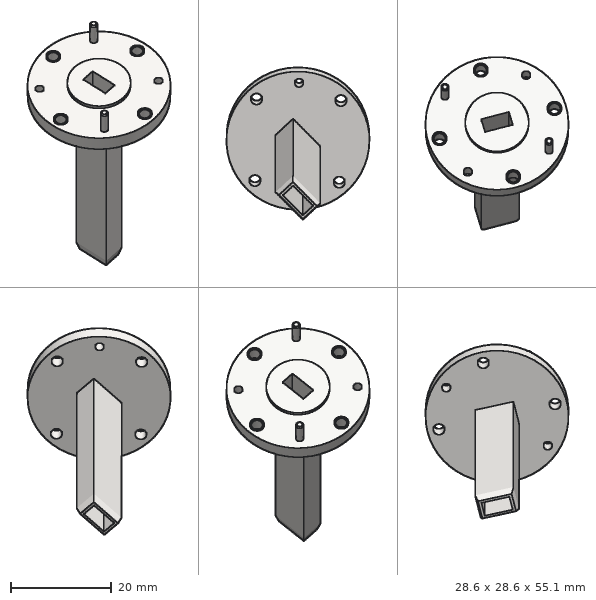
import cadquery as cq
import math

total_height = 55.1
pin_height = 5.0
boss_height = 0.7
flange_thickness = 3.3
flange_top = total_height - pin_height
flange_bottom = flange_top - flange_thickness

flange_diameter = 28.55
boss_diameter = 12.7

tube_width = 7.9
tube_depth = 4.85
tip_height = 2.15
tip_inset = 0.5
bore_width = 5.75
bore_depth = 2.85

pattern_radius = 11.9
screw_hole_diameter = 2.25
screw_mouth_diameter = 2.85
mouth_depth = 0.15

align_offset = pattern_radius / math.sqrt(2)
pin_diameter = 1.55
pin_chamfer = 0.3
align_hole_diameter = 1.7

screw_points = [
    (pattern_radius, 0),
    (0, pattern_radius),
    (-pattern_radius, 0),
    (0, -pattern_radius),
]
pin_points = [(-align_offset, align_offset), (align_offset, -align_offset)]
align_hole_points = [(align_offset, align_offset), (-align_offset, -align_offset)]


def plane_at(z):
    return cq.Workplane("XY", origin=(0, 0, z))


def make_flange():
    disc = plane_at(flange_bottom).circle(flange_diameter / 2).extrude(flange_thickness)
    boss = plane_at(flange_top).circle(boss_diameter / 2).extrude(boss_height)
    flange = disc.union(boss)
    flange = flange.cut(
        plane_at(flange_bottom).pushPoints(align_hole_points)
        .circle(align_hole_diameter / 2).extrude(flange_thickness)
    )
    screw_holes = (
        plane_at(flange_bottom).pushPoints(screw_points)
        .circle(screw_hole_diameter / 2).extrude(flange_thickness)
    )
    flange = flange.cut(screw_holes)
    screw_mouths = (
        plane_at(flange_top - mouth_depth).pushPoints(screw_points)
        .circle(screw_mouth_diameter / 2).extrude(mouth_depth)
    )
    flange = flange.cut(screw_mouths)
    return flange


def make_tube():
    body = plane_at(tip_height).rect(tube_width, tube_depth).extrude(flange_bottom - tip_height)
    tip = (
        plane_at(0).rect(tube_width - 2 * tip_inset, tube_depth - 2 * tip_inset)
        .workplane(offset=tip_height).rect(tube_width, tube_depth)
        .loft(ruled=True)
    )
    return body.union(tip)


def make_pins():
    length = total_height - flange_bottom
    pins = plane_at(flange_bottom).pushPoints(pin_points).circle(pin_diameter / 2).extrude(length)
    return pins.faces(">Z").edges().chamfer(pin_chamfer)


bore = plane_at(0).rect(bore_width, bore_depth).extrude(total_height)
result = make_flange().union(make_tube()).union(make_pins()).cut(bore)